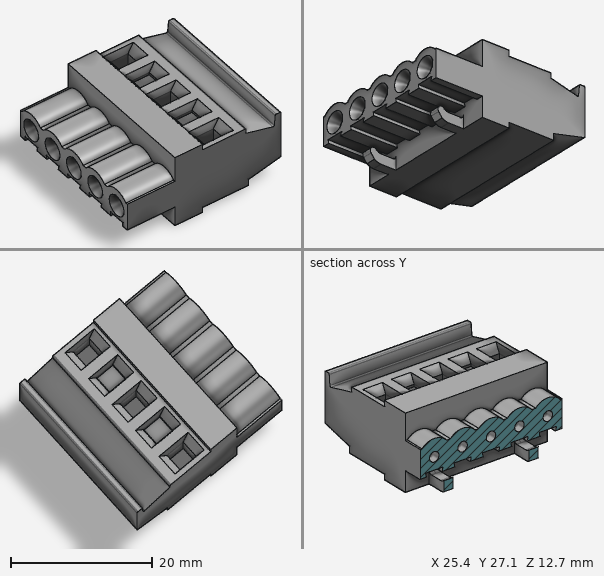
import cadquery as cq
import math


pole_count = 5
pole_pitch = 5.08
width = pole_count * pole_pitch
pole_centres = [(i - (pole_count - 1) / 2) * pole_pitch for i in range(pole_count)]

length = 27.1
block_front_y = 8.4
block_rear_y = 13.3
ramp_top_y = 20.95
ramp_base_y = 25.9
lip_front_y = 26.1
heel_y = 21.4

height = 12.7
step_height = 1.0
deck_z = height - step_height
floor_z = 0.9
ramp_top_z = 10.85
ramp_base_z = 9.58
heel_z = 2.0
rear_bottom_z = 3.35
edge_radius = 0.2

sleeve_axis_z = 6.3
sleeve_radius = 2.98
sleeve_flat_z = 8.3
sleeve_bottom_z = 3.47
funnel_mouth_diameter = 3.5
bore_diameter = 1.6
funnel_depth = 1.6
bore_depth = block_front_y

groove_height = 0.66
groove_mouth_width = 2.7
groove_root_width = 3.0

pocket_centre_y = 16.57
pocket_mouth_x = 3.46
pocket_mouth_y = 5.44
well_x = 2.8
well_y = 3.02
taper_depth = 1.3
shallow_well_depth = 0.4
deep_well_depth = 3.0

hook_width = 1.7
hook_centres = [-1.5 * pole_pitch, 1.5 * pole_pitch]
hook_arm_z = 1.68
hook_head_radius = 0.67
hook_head_y = 4.41
hook_head_z = 1.61
hook_heel_radius = 2.0
hook_heel_y = 4.5
hook_heel_z = 0.38
hook_throat_radius = 1.1
hook_root_radius = 0.55


def make_body():
    """Housing: one side profile carried across the full width."""
    body = (
        cq.Workplane("YZ")
        .moveTo(block_front_y, 0)
        .lineTo(block_rear_y, 0)
        .lineTo(block_rear_y, floor_z)
        .lineTo(heel_y, floor_z)
        .lineTo(heel_y, heel_z)
        .lineTo(length, rear_bottom_z)
        .lineTo(length, deck_z)
        .lineTo(lip_front_y, deck_z)
        .lineTo(ramp_base_y, ramp_base_z)
        .lineTo(ramp_top_y, ramp_top_z)
        .lineTo(ramp_top_y, deck_z)
        .lineTo(block_rear_y, deck_z)
        .lineTo(block_rear_y, height)
        .lineTo(block_front_y, height)
        .close()
        .extrude(width / 2, both=True)
    )
    rounded_edges = [
        (length, deck_z),
        (lip_front_y, deck_z),
        (ramp_base_y, ramp_base_z),
        (ramp_top_y, deck_z),
        (length, rear_bottom_z),
    ]
    for y, z in rounded_edges:
        edge = cq.selectors.NearestToPointSelector((0, y, z))
        body = body.edges("|X").edges(edge).fillet(edge_radius)
    return body


def make_sleeves():
    """Row of contact sleeves: a flat slab with a round crown over every pole."""
    slab_height = sleeve_flat_z - sleeve_bottom_z
    sleeves = cq.Workplane("XY").box(width, block_front_y, slab_height, centered=(True, False, False))
    sleeves = sleeves.translate((0, 0, sleeve_bottom_z))
    crown_half_angle = math.acos((sleeve_flat_z - sleeve_axis_z) / sleeve_radius)
    crown_half_width = sleeve_radius * math.sin(crown_half_angle)
    for x in pole_centres:
        crown = (
            cq.Workplane("XZ")
            .moveTo(x - crown_half_width, sleeve_flat_z)
            .threePointArc((x, sleeve_axis_z + sleeve_radius), (x + crown_half_width, sleeve_flat_z))
            .close()
            .extrude(-block_front_y)
        )
        sleeves = sleeves.union(crown)
    return sleeves


def make_opening(x):
    """Contact opening: a conical funnel at the mating face leading into a blind bore."""
    funnel = cq.Solid.makeCone(
        funnel_mouth_diameter / 2,
        bore_diameter / 2,
        funnel_depth,
        pnt=cq.Vector(x, 0, sleeve_axis_z),
        dir=cq.Vector(0, 1, 0),
    )
    bore = cq.Workplane("XZ", origin=(x, 0, sleeve_axis_z)).circle(bore_diameter / 2).extrude(-bore_depth)
    return bore.union(cq.Workplane(funnel))


def make_groove(x):
    """Dovetail groove under one sleeve, running back to the block."""
    groove_root_z = sleeve_bottom_z + groove_height
    return (
        cq.Workplane("XZ")
        .moveTo(x - groove_mouth_width / 2, sleeve_bottom_z)
        .lineTo(x - groove_root_width / 2, groove_root_z)
        .lineTo(x + groove_root_width / 2, groove_root_z)
        .lineTo(x + groove_mouth_width / 2, sleeve_bottom_z)
        .close()
        .extrude(-block_front_y)
    )


def make_pocket(x, well_depth):
    """Screw pocket: a tapered mouth leading into a straight well."""
    mouth = (
        cq.Workplane("XY", origin=(x, pocket_centre_y, deck_z))
        .rect(pocket_mouth_x, pocket_mouth_y)
        .workplane(offset=-taper_depth)
        .rect(well_x, well_y)
        .loft(ruled=True)
    )
    well = (
        cq.Workplane("XY", origin=(x, pocket_centre_y, deck_z - taper_depth))
        .rect(well_x, well_y)
        .extrude(-well_depth)
    )
    return mouth.union(well)


def make_hook(x):
    """Latch hook: flat arm turning up into a fully rounded head."""
    head_offset = hook_head_radius * math.sqrt(0.5)
    head_upper = (hook_head_y + head_offset, hook_head_z + head_offset)
    throat_y = sum(head_upper) - hook_arm_z

    heel_to_head_y = hook_head_y - hook_heel_y
    heel_to_head_z = hook_head_z - hook_heel_z
    heel_to_head = math.hypot(heel_to_head_y, heel_to_head_z)
    tangent_length = math.sqrt(heel_to_head**2 - hook_head_radius**2)
    tangent_angle = math.atan2(heel_to_head_z, heel_to_head_y) + math.asin(hook_head_radius / heel_to_head)
    head_lower = (
        hook_heel_y + tangent_length * math.cos(tangent_angle),
        hook_heel_z + tangent_length * math.sin(tangent_angle),
    )
    head_tip = (hook_head_y - head_offset, hook_head_z + head_offset)

    heel_angle = math.acos(1 - hook_heel_z / hook_heel_radius)
    heel_centre_y = hook_heel_y + hook_heel_radius * math.sin(heel_angle)
    heel_middle = (
        heel_centre_y - hook_heel_radius * math.sin(heel_angle / 2),
        hook_heel_radius * (1 - math.cos(heel_angle / 2)),
    )

    hook = (
        cq.Workplane("YZ", origin=(x, 0, 0))
        .moveTo(block_front_y, 0)
        .lineTo(heel_centre_y, 0)
        .threePointArc(heel_middle, (hook_heel_y, hook_heel_z))
        .lineTo(*head_lower)
        .threePointArc(head_tip, head_upper)
        .lineTo(throat_y, hook_arm_z)
        .lineTo(block_front_y, hook_arm_z)
        .close()
        .extrude(hook_width / 2, both=True)
    )
    throat = cq.selectors.NearestToPointSelector((x, throat_y, hook_arm_z))
    return hook.edges("|X").edges(throat).fillet(hook_throat_radius)


def make_hook_root(x):
    """Concave fillet where the top of the hook arm meets the block."""
    corner = cq.Workplane("XY").box(
        hook_width, hook_root_radius, hook_root_radius, centered=(True, False, False)
    )
    corner = corner.translate((x, block_front_y - hook_root_radius, hook_arm_z))
    relief = (
        cq.Workplane("YZ", origin=(x, 0, 0))
        .center(block_front_y - hook_root_radius, hook_arm_z + hook_root_radius)
        .circle(hook_root_radius)
        .extrude(hook_width / 2, both=True)
    )
    return corner.cut(relief)


result = make_body().union(make_sleeves())

for hook_x in hook_centres:
    result = result.union(make_hook(hook_x)).union(make_hook_root(hook_x))

for index, pole_x in enumerate(pole_centres):
    pole_well_depth = shallow_well_depth if index % 2 else deep_well_depth
    result = result.cut(make_opening(pole_x))
    result = result.cut(make_groove(pole_x))
    result = result.cut(make_pocket(pole_x, pole_well_depth))